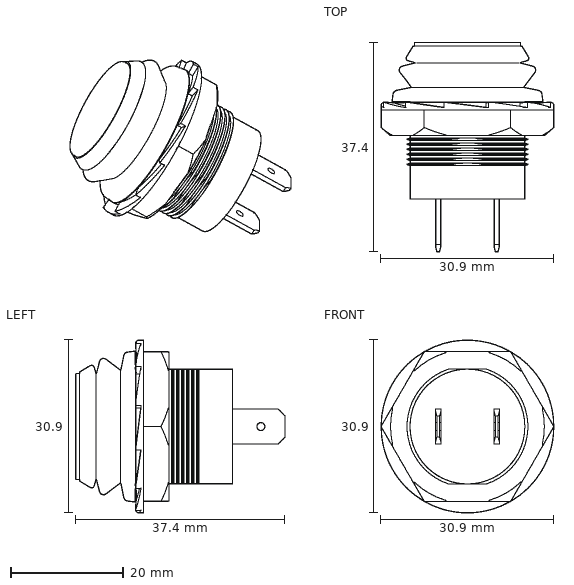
import cadquery as cq
import math


BARREL_DIA = 20.5
BARREL_LENGTH = 17.35

THREAD_DIA = 21.57
RIDGE_COUNT = 6
RIDGE_PITCH = 0.9
RIDGE_BASE_WIDTH = 0.45
RIDGE_CREST_WIDTH = 0.07
FIRST_RIDGE_Y = -6.65

BLADE_SPACING = 10.45
BLADE_THICKNESS = 0.95
BLADE_WIDTH = 6.3
BLADE_LENGTH = 9.4
BLADE_CORNER_CUT = 1.27
BLADE_TAPER_LENGTH = 0.82
BLADE_TAPER_DEPTH = 0.22
BLADE_HOLE_DIA = 1.4
BLADE_HOLE_FROM_BARREL = 5.05

BOOT_HEIGHT = 10.65
BUTTON_DIA = 19.0
BUTTON_HEIGHT = 0.7
BUTTON_EDGE_ROUND = 0.22
LIP_RADIUS = 9.75
RIB_1_RADIUS = 11.2
RIB_1_Y = 7.5
RIB_1_ROUND = 0.5
VALLEY_1_RADIUS = 9.4
VALLEY_1_Y = 7.0
RIB_2_RADIUS = 12.7
RIB_2_Y = 6.15
RIB_2_ROUND = 0.75
VALLEY_2_RADIUS = 10.05
VALLEY_2_Y = 2.6
FLANGE_TOP_RADIUS = 13.25
FLANGE_TOP_Y = 2.0
FLANGE_ROUND = 0.85
FLANGE_BASE_RADIUS = 13.5

NUT_DIA = 30.85
NUT_LENGTH = 6.02
WASHER_THICKNESS = 1.45
TOOTH_COUNT = 12
TOOTH_HEIGHT = 1.0
FIRST_STEP_ANGLE = 15.8
TOOTH_INNER_DIA = 2 * FLANGE_BASE_RADIUS
SEAT_GAP = 0.1
HEX_END_DIA = 27.45
HEX_BEVEL_LENGTH = 1.45
HEX_EDGE_ROUND = 0.25


def cylinder(diameter, front_y, rear_y):
    """Solid cylinder on the Y axis between two Y positions."""
    return cq.Workplane("XZ", origin=(0, front_y, 0)).circle(diameter / 2).extrude(front_y - rear_y)


def spin(outline):
    """Revolve an (x, y) outline about the Y axis."""
    return cq.Workplane("XY").polyline(outline).close().revolve(360, (0, 0, 0), (0, 1, 0))


def make_barrel():
    """Barrel with a row of V-shaped ridges cut flat above and below."""
    root = BARREL_DIA / 2
    outline = [(0, 0), (root, 0)]
    for i in range(RIDGE_COUNT):
        y = FIRST_RIDGE_Y - i * RIDGE_PITCH
        outline += [
            (root, y + RIDGE_BASE_WIDTH / 2),
            (THREAD_DIA / 2, y + RIDGE_CREST_WIDTH / 2),
            (THREAD_DIA / 2, y - RIDGE_CREST_WIDTH / 2),
            (root, y - RIDGE_BASE_WIDTH / 2),
        ]
    outline += [(root, -BARREL_LENGTH), (0, -BARREL_LENGTH)]
    flats = cq.Workplane("XY").box(2 * THREAD_DIA, 2 * BARREL_LENGTH, BARREL_DIA)
    return spin(outline).intersect(flats)


def make_blade(x):
    """Flat terminal with cut corners, a tapered tip and a cross hole."""
    tip_y = -BARREL_LENGTH - BLADE_LENGTH
    half_width = BLADE_WIDTH / 2
    half_thickness = BLADE_THICKNESS / 2
    side = (
        cq.Workplane("YZ", origin=(x - half_thickness, 0, 0))
        .moveTo(-BARREL_LENGTH, -half_width)
        .lineTo(tip_y + BLADE_CORNER_CUT, -half_width)
        .lineTo(tip_y, -half_width + BLADE_CORNER_CUT)
        .lineTo(tip_y, half_width - BLADE_CORNER_CUT)
        .lineTo(tip_y + BLADE_CORNER_CUT, half_width)
        .lineTo(-BARREL_LENGTH, half_width)
        .close()
        .extrude(BLADE_THICKNESS)
    )
    tip_half = half_thickness - BLADE_TAPER_DEPTH
    taper = (
        cq.Workplane("XY", origin=(x, 0, -half_width))
        .moveTo(-half_thickness, -BARREL_LENGTH)
        .lineTo(-half_thickness, tip_y + BLADE_TAPER_LENGTH)
        .lineTo(-tip_half, tip_y)
        .lineTo(tip_half, tip_y)
        .lineTo(half_thickness, tip_y + BLADE_TAPER_LENGTH)
        .lineTo(half_thickness, -BARREL_LENGTH)
        .close()
        .extrude(BLADE_WIDTH)
    )
    hole = (
        cq.Workplane("YZ", origin=(x - half_thickness, -BARREL_LENGTH - BLADE_HOLE_FROM_BARREL, 0))
        .circle(BLADE_HOLE_DIA / 2)
        .extrude(BLADE_THICKNESS)
    )
    return side.intersect(taper).cut(hole)


def make_housing():
    """Threaded barrel carrying the two terminals."""
    housing = make_barrel()
    for side in (-1, 1):
        housing = housing.union(make_blade(side * BLADE_SPACING / 2))
    return housing


def round_ring(body, radius, y, fillet):
    """Fillet the circular edge that has the given radius and Y position."""
    margin = 0.05
    reach = radius + margin
    selector = cq.selectors.BoxSelector((-reach, y - margin, -reach), (reach, y + margin, reach), True)
    return body.edges("%CIRCLE").edges(selector).fillet(fillet)


def make_boot():
    """Bellows-shaped boot with its button face and seating flange."""
    button_radius = BUTTON_DIA / 2
    lip_y = BOOT_HEIGHT - BUTTON_HEIGHT
    boot = spin([
        (0, 0),
        (FLANGE_BASE_RADIUS, 0),
        (FLANGE_TOP_RADIUS, FLANGE_TOP_Y),
        (VALLEY_2_RADIUS, VALLEY_2_Y),
        (RIB_2_RADIUS, RIB_2_Y),
        (VALLEY_1_RADIUS, VALLEY_1_Y),
        (RIB_1_RADIUS, RIB_1_Y),
        (LIP_RADIUS, lip_y),
        (button_radius, lip_y),
        (button_radius, BOOT_HEIGHT),
        (0, BOOT_HEIGHT),
    ])
    boot = round_ring(boot, button_radius, BOOT_HEIGHT, BUTTON_EDGE_ROUND)
    boot = round_ring(boot, RIB_1_RADIUS, RIB_1_Y, RIB_1_ROUND)
    boot = round_ring(boot, RIB_2_RADIUS, RIB_2_Y, RIB_2_ROUND)
    return round_ring(boot, FLANGE_TOP_RADIUS, FLANGE_TOP_Y, FLANGE_ROUND)


def make_hexagon():
    """Hexagon with bevelled corners and rounded edges at its rear end."""
    hexagon = (
        cq.Workplane("XZ", origin=(0, -WASHER_THICKNESS, 0))
        .polygon(6, NUT_DIA)
        .extrude(NUT_LENGTH - WASHER_THICKNESS)
        .faces("<Y")
        .edges()
        .fillet(HEX_EDGE_ROUND)
    )
    bevel = spin([
        (0, -WASHER_THICKNESS),
        (NUT_DIA / 2, -WASHER_THICKNESS),
        (NUT_DIA / 2, -NUT_LENGTH + HEX_BEVEL_LENGTH),
        (HEX_END_DIA / 2, -NUT_LENGTH),
        (0, -NUT_LENGTH),
    ])
    return hexagon.intersect(bevel)


def make_toothed_washer():
    """Ring of ramped locking teeth around a slightly lower centre."""
    tooth_angle = 360 / TOOTH_COUNT
    ramp_length = NUT_DIA / 2 * math.sin(math.radians(tooth_angle))
    ramp = (
        cq.Workplane("YZ")
        .polyline([(0, 0), (-TOOTH_HEIGHT, 0), (0, ramp_length)])
        .close()
        .extrude(NUT_DIA)
    )
    ring = cylinder(NUT_DIA, 0, -WASHER_THICKNESS).cut(cylinder(TOOTH_INNER_DIA, 0, -WASHER_THICKNESS))
    for i in range(TOOTH_COUNT):
        ring = ring.cut(ramp.rotate((0, 0, 0), (0, -1, 0), FIRST_STEP_ANGLE + i * tooth_angle))
    return ring.union(cylinder(TOOTH_INNER_DIA, -SEAT_GAP, -WASHER_THICKNESS))


def make_nut():
    """Lock nut bored to fit the barrel."""
    return make_toothed_washer().union(make_hexagon()).cut(cylinder(BARREL_DIA, 0, -NUT_LENGTH))


housing = make_housing()
boot = make_boot()
nut = make_nut()

result = cq.Compound.makeCompound([housing.val(), boot.val(), nut.val()])